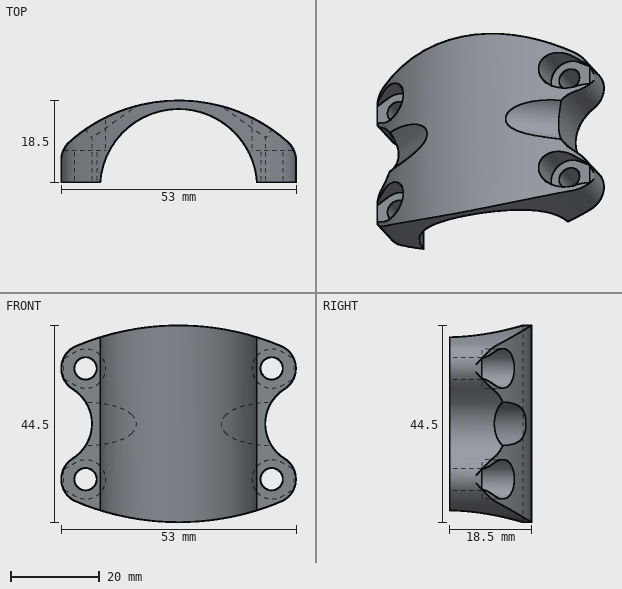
import cadquery as cq
import math

half_width = 26.5
half_height = 22.225
crown_height = 18.5

hole_x = 21.0
hole_z = 12.5
lug_radius = half_width - hole_x
scallop_radius = 9.25

bore_crown = 16.5
bore_half_width = 17.65
outer_radius = 37.0
shoulder_radius = 5.72
shoulder_centre_x = 20.83

hole_diameter = 5.0
counterbore_diameter = 8.9
counterbore_floor = 7.2
teardrop_half_angle = 30.0

relief_radius = 6.3
relief_angle = 35.6
relief_start_x = 9.6
relief_length = 30.0


def along(start, end, distance):
    """Point at a given distance from start on the line towards end."""
    span = math.dist(start, end)
    return tuple(s + (e - s) * distance / span for s, e in zip(start, end))


def mirrored(point, sign_first, sign_second):
    """Point with the sign of either sketch coordinate flipped."""
    return (point[0] * sign_first, point[1] * sign_second)


def plan_prism():
    """Plan outline of the clamp in XZ, with end arcs, lugs and side scallops all tangent."""
    rise = half_height - lug_radius - hole_z
    centre_drop = (hole_x**2 - rise**2) / (2 * rise)
    end_centre = (0, hole_z - centre_drop)
    lug_centre = (hole_x, hole_z)
    end_radius = half_height - end_centre[1]
    lug_to_scallop = lug_radius + scallop_radius
    scallop_centre = (hole_x + math.sqrt(lug_to_scallop**2 - hole_z**2), 0)

    end_point = along(end_centre, lug_centre, end_radius)
    lug_tip = (half_width, hole_z)
    neck_point = along(lug_centre, scallop_centre, lug_radius)
    waist = (scallop_centre[0] - scallop_radius, 0)

    outline = (
        cq.Workplane("XZ")
        .moveTo(*mirrored(end_point, -1, 1))
        .threePointArc((0, half_height), end_point)
        .threePointArc(lug_tip, neck_point)
        .threePointArc(waist, mirrored(neck_point, 1, -1))
        .threePointArc(mirrored(lug_tip, 1, -1), mirrored(end_point, 1, -1))
        .threePointArc((0, -half_height), mirrored(end_point, -1, -1))
        .threePointArc(mirrored(lug_tip, -1, -1), mirrored(neck_point, -1, -1))
        .threePointArc(mirrored(waist, -1, 1), mirrored(neck_point, -1, 1))
        .threePointArc(mirrored(lug_tip, -1, 1), mirrored(end_point, -1, 1))
        .close()
    )
    return outline.extrude(-crown_height)


def saddle_prism():
    """Arch cross-section in XY, extruded over the full height.

    Its side walls stand just outside the lugs, so the plan outline trims them.
    """
    outer_centre = (0, crown_height - outer_radius)
    centre_distance = outer_radius - shoulder_radius
    shoulder_centre_y = outer_centre[1] + math.sqrt(centre_distance**2 - shoulder_centre_x**2)
    shoulder_centre = (shoulder_centre_x, shoulder_centre_y)
    tangent_point = along(outer_centre, shoulder_centre, outer_radius)
    wall_top = (shoulder_centre_x + shoulder_radius, shoulder_centre_y)
    chord_middle = ((tangent_point[0] + wall_top[0]) / 2, (tangent_point[1] + wall_top[1]) / 2)
    shoulder_mid = along(shoulder_centre, chord_middle, shoulder_radius)
    section = (
        cq.Workplane("XY", origin=(0, 0, -half_height))
        .moveTo(bore_half_width, 0)
        .lineTo(wall_top[0], 0)
        .lineTo(*wall_top)
        .threePointArc(shoulder_mid, tangent_point)
        .threePointArc((0, crown_height), mirrored(tangent_point, -1, 1))
        .threePointArc(mirrored(shoulder_mid, -1, 1), mirrored(wall_top, -1, 1))
        .lineTo(-wall_top[0], 0)
        .lineTo(-bore_half_width, 0)
        .threePointArc((0, bore_crown), (bore_half_width, 0))
        .close()
    )
    return section.extrude(2 * half_height)


def bolt_hole(side, end):
    """Through hole along Y with a teardrop counterbore that opens through the lug's outer edge."""
    x = side * hole_x
    z = end * hole_z
    radius = counterbore_diameter / 2
    half_angle = math.radians(teardrop_half_angle)
    apex = radius / math.sin(half_angle)
    tangent_x = radius * math.sin(half_angle)
    tangent_z = radius * math.cos(half_angle)

    hole = cq.Workplane("XZ", origin=(x, 0, z)).circle(hole_diameter / 2).extrude(-crown_height)
    counterbore = (
        cq.Workplane("XZ", origin=(x, counterbore_floor, z))
        .moveTo(side * apex, 0)
        .lineTo(side * tangent_x, tangent_z)
        .threePointArc((-side * radius, 0), (side * tangent_x, -tangent_z))
        .close()
        .extrude(-crown_height)
    )
    return hole.union(counterbore)


def relief_groove(side):
    """Cylinder sloping down and outwards, whose lowest line starts on the outer face."""
    angle = math.radians(relief_angle)
    direction = cq.Vector(side * math.cos(angle), -math.sin(angle), 0)
    normal = cq.Vector(side * math.sin(angle), math.cos(angle), 0)
    start_y = crown_height - outer_radius + math.sqrt(outer_radius**2 - relief_start_x**2)
    axis_start = cq.Vector(side * relief_start_x, start_y, 0) + normal * relief_radius
    base = axis_start - direction * (relief_length / 2)
    return cq.Workplane(obj=cq.Solid.makeCylinder(relief_radius, relief_length, base, direction))


result = plan_prism().intersect(saddle_prism())
for side in (-1, 1):
    result = result.cut(relief_groove(side))
    for end in (-1, 1):
        result = result.cut(bolt_hole(side, end))